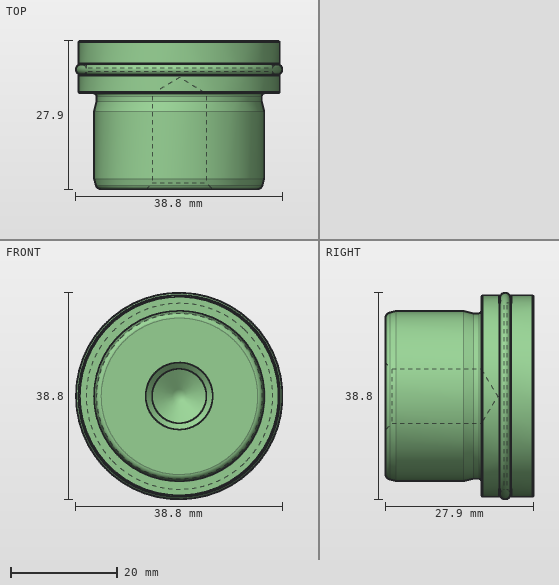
import cadquery as cq
import math

total_length = 27.9

flange_radius = 18.95
flange_length = 9.9
flange_chamfer = 0.3
groove_center = 5.4
groove_width = 2.3
groove_floor_radius = 17.5
ring_outer_radius = 19.41
ring_section_radius = 0.98

body_radius = 16.0
neck_radius = 15.55
neck_fillet = 0.5
neck_end = 11.4
body_start = 13.25
nose_taper_start = 25.9
nose_taper_angle = 15.0
nose_round_start = 27.1
nose_face_radius = 14.7

bore_radius = 5.1
countersink_radius = 6.3
countersink_angle = 90.0
bore_depth = 18.0
drill_point_angle = 118.0


def revolve_about_axis(profile):
    """Revolve a (radius, axial position) profile about the part axis, which lies along Y."""
    return profile.revolve(360, (0, 0, 0), (0, 1, 0))


def make_shell():
    """Flange, grooved rim, neck, body and nose as one turned solid."""
    groove_back = groove_center - groove_width / 2
    groove_front = groove_center + groove_width / 2
    fillet_mid = neck_fillet * (1 - math.sqrt(0.5))
    taper_length = nose_round_start - nose_taper_start
    taper = math.radians(nose_taper_angle)
    round_radius = body_radius - taper_length * math.tan(taper)
    profile = (
        cq.Workplane("XY")
        .moveTo(0, 0)
        .lineTo(flange_radius - flange_chamfer, 0)
        .lineTo(flange_radius, flange_chamfer)
        .lineTo(flange_radius, groove_back)
        .lineTo(groove_floor_radius, groove_back)
        .lineTo(groove_floor_radius, groove_front)
        .lineTo(flange_radius, groove_front)
        .lineTo(flange_radius, flange_length - flange_chamfer)
        .lineTo(flange_radius - flange_chamfer, flange_length)
        .lineTo(neck_radius + neck_fillet, flange_length)
        .threePointArc(
            (neck_radius + fillet_mid, flange_length + fillet_mid),
            (neck_radius, flange_length + neck_fillet),
        )
        .lineTo(neck_radius, neck_end)
        .lineTo(body_radius, body_start)
        .lineTo(body_radius, nose_taper_start)
        .lineTo(round_radius, nose_round_start)
        .tangentArcPoint((nose_face_radius, total_length), relative=False)
        .lineTo(0, total_length)
        .close()
    )
    return revolve_about_axis(profile)


def make_sealing_ring():
    """Round-section ring seated in the flange groove."""
    section_center_radius = ring_outer_radius - ring_section_radius
    section_plane = cq.Plane(
        origin=(section_center_radius, groove_center, 0), xDir=(-1, 0, 0), normal=(0, 0, 1)
    )
    section = cq.Workplane(section_plane).circle(ring_section_radius)
    return section.revolve(360, (section_center_radius, 0, 0), (section_center_radius, 1, 0))


def make_bore():
    """Countersunk blind bore entering from the front face."""
    countersink_depth = (countersink_radius - bore_radius) / math.tan(math.radians(countersink_angle / 2))
    drill_point_length = bore_radius / math.tan(math.radians(drill_point_angle / 2))
    bore_bottom = total_length - bore_depth
    profile = (
        cq.Workplane("XY")
        .moveTo(0, total_length)
        .lineTo(countersink_radius, total_length)
        .lineTo(bore_radius, total_length - countersink_depth)
        .lineTo(bore_radius, bore_bottom)
        .lineTo(0, bore_bottom - drill_point_length)
        .close()
    )
    return revolve_about_axis(profile)


turned_part = make_shell().union(make_sealing_ring()).cut(make_bore())

result = turned_part.rotate((0, 0, 0), (0, 0, 1), 180).translate((0, total_length / 2, 0))